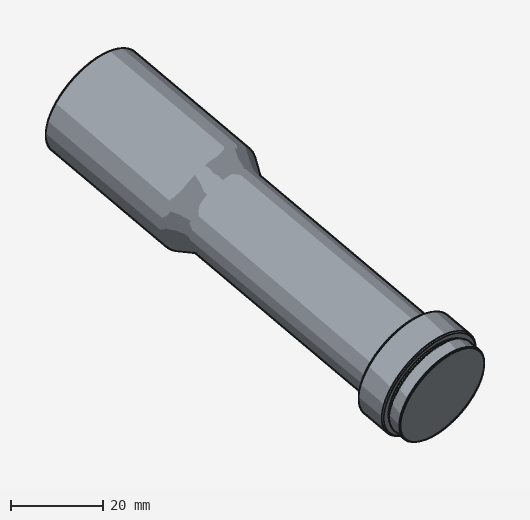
import cadquery as cq
import math

total_length = 111.2
head_radius = 14.0
shank_radius = 11.0
spigot_radius = 12.7

cone_start = 37.1
cone_angle = math.radians(30)
cone_round = 2.0
cone_end = cone_start + (head_radius - shank_radius) / math.tan(cone_angle)

collar_start = 99.2
collar_end = 107.2
collar_chamfer = 0.3
groove_end = 107.9
groove_depth = 0.3
groove_radius = spigot_radius - groove_depth

head_chamfer = 0.2
spigot_chamfer = 0.2


def cylinder(start, end, radius):
    """Solid cylinder along X from start to end."""
    return cq.Workplane("YZ", origin=(start, 0, 0)).circle(radius).extrude(end - start)


def make_head_and_shank():
    """Head, cone and shank as one revolved body with blended cone corners."""
    body = (
        cq.Workplane("XY")
        .polyline([
            (0, 0),
            (0, head_radius),
            (cone_start, head_radius),
            (cone_end, shank_radius),
            (collar_start, shank_radius),
            (collar_start, 0),
        ])
        .close()
        .revolve(360, (0, 0, 0), (1, 0, 0))
    )
    cone_corners = cq.selectors.BoxSelector(
        (cone_start - cone_round, -head_radius, -head_radius),
        (cone_end + cone_round, head_radius, head_radius),
        boundingbox=False,
    )
    circles = body.edges("%CIRCLE").edges(cone_corners)
    return circles.fillet(cone_round).faces("<X").chamfer(head_chamfer)


def make_collar():
    """Collar chamfered on both rims."""
    return cylinder(collar_start, collar_end, head_radius).edges("%CIRCLE").chamfer(collar_chamfer)


def make_spigot():
    """End spigot with the relief groove against the collar."""
    groove = cylinder(collar_end, groove_end, groove_radius)
    spigot = cylinder(groove_end, total_length, spigot_radius).faces(">X").chamfer(spigot_chamfer)
    return groove.union(spigot)


result = make_head_and_shank().union(make_collar()).union(make_spigot())